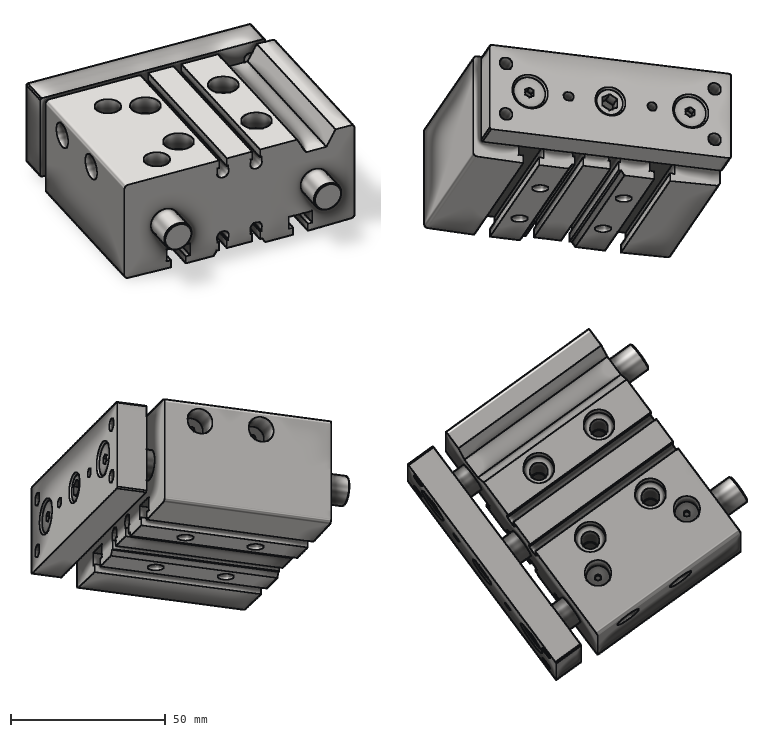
import cadquery as cq
import math


total_length = 83.0
body_width = 83.0
body_height = 36.0
body_start = 15.9
body_length = 57.2
top_z = body_height / 2
bottom_z = -top_z

corner_radius = 1.4
bottom_rise = 0.37
groove_y = 27.6
groove_top_width = 13.9
groove_depth = 5.7
groove_floor_width = 7.3
channel_depth = 1.7
channel_floor_width = 16.4
channel_mouth_width = 18.7

sensor_slot_y = 6.0
sensor_neck_width = 2.8
sensor_neck_depth = 3.0
sensor_shoulder_width = 4.0
sensor_round_diameter = 4.2
sensor_slot_depth = 6.9

t_slot_y = 22.0
t_neck_width = 5.3
t_neck_depth = 2.7
t_head_width = 8.4
t_head_height = 4.5

mount_x_places = [33.0, 57.1]
mount_y = 14.0
mount_counterbore_diameter = 10.0
mount_counterbore_depth = 6.0
mount_clearance_diameter = 5.8
mount_thread_diameter = 5.2
mount_thread_depth = 12.0

port_mouth_diameter = 8.55
port_floor_diameter = 7.7
port_depth = 8.0
pilot_diameter = 2.0
pilot_depth = 2.5
near_port_x = 28.05
far_top_port_x = 63.6
far_side_port_x = 49.05
top_port_y = -25.1
side_port_z = 11.5

plate_thickness = 10.05
plate_width = 81.1
plate_height = 30.05
plate_chamfer = 0.5
plate_hole_diameter = 4.2
plate_hole_y = 35.0
plate_hole_z = 9.0
dowel_diameter = 3.0
dowel_y = 14.0
dowel_slot_length = 3.4

rod_diameter = 10.0
rod_chamfer = 0.3
guide_rod_y = 27.0
piston_rod_insertion = 24.9

recess_depth = 0.7
guide_recess_diameter = 11.95
piston_recess_diameter = 10.1
guide_hex_width = 3.0
guide_hex_depth = 3.0
piston_hex_width = 5.0
piston_hex_depth = 5.0


def cross_section(x):
    """Workplane at the given X, facing +X, with local axes Y and Z."""
    return cq.Workplane("YZ", origin=(x, 0, 0))


def body_bar(y, z, width, height):
    """Bar as long as the body, with the middle of its lower side at (y, z)."""
    return (
        cross_section(body_start)
        .center(y, z + height / 2)
        .rect(width, height)
        .extrude(body_length)
    )


def body_blank():
    """Rounded block whose underside rises slightly from the T-slots to the outer edges."""
    side_y = body_width / 2
    flat_y = t_slot_y + t_neck_width / 2
    blank = (
        cross_section(body_start)
        .moveTo(-side_y, top_z)
        .lineTo(side_y, top_z)
        .lineTo(side_y, bottom_z + bottom_rise)
        .lineTo(flat_y, bottom_z)
        .lineTo(-flat_y, bottom_z)
        .lineTo(-side_y, bottom_z + bottom_rise)
        .close()
        .extrude(body_length)
    )
    for side in ("<Y", ">Y"):
        blank = blank.edges("|X").edges(side).fillet(corner_radius)
    return blank


def trapezoid_cut(y, z_mouth, z_floor, mouth_width, floor_width):
    """Channel with sloping walls along the whole body."""
    return (
        cross_section(body_start)
        .moveTo(y - mouth_width / 2, z_mouth)
        .lineTo(y - floor_width / 2, z_floor)
        .lineTo(y + floor_width / 2, z_floor)
        .lineTo(y + mouth_width / 2, z_mouth)
        .close()
        .extrude(body_length)
    )


def top_groove():
    floor_z = top_z - groove_depth
    return trapezoid_cut(groove_y, top_z, floor_z, groove_top_width, groove_floor_width)


def bottom_channel():
    floor_z = bottom_z + channel_depth
    return trapezoid_cut(0, bottom_z, floor_z, channel_mouth_width, channel_floor_width)


def sensor_slot(y, mouth_z, inward):
    """Narrow neck that opens past a square shoulder into a round bottom; inward is +1 or -1 along Z."""
    neck_half = sensor_neck_width / 2
    shoulder_half = sensor_shoulder_width / 2
    radius = sensor_round_diameter / 2
    shoulder_z = mouth_z + inward * sensor_neck_depth
    round_end_z = mouth_z + inward * sensor_slot_depth
    wall_to_center = math.sqrt(radius**2 - shoulder_half**2)
    round_start_z = round_end_z - inward * (radius + wall_to_center)
    return (
        cross_section(body_start)
        .moveTo(y - neck_half, mouth_z)
        .lineTo(y - neck_half, shoulder_z)
        .lineTo(y - shoulder_half, shoulder_z)
        .lineTo(y - shoulder_half, round_start_z)
        .threePointArc((y, round_end_z), (y + shoulder_half, round_start_z))
        .lineTo(y + shoulder_half, shoulder_z)
        .lineTo(y + neck_half, shoulder_z)
        .lineTo(y + neck_half, mouth_z)
        .close()
        .extrude(body_length)
    )


def t_slot(y):
    neck = body_bar(y, bottom_z, t_neck_width, t_neck_depth)
    head = body_bar(y, bottom_z + t_neck_depth, t_head_width, t_head_height)
    return neck.union(head)


def mounting_hole(x, y):
    """Counterbored clearance hole from the top that narrows to a threaded hole from the bottom."""
    hole = cq.Workplane("XY", origin=(x, y, bottom_z)).circle(mount_thread_diameter / 2).extrude(body_height)
    clearance = (
        cq.Workplane("XY", origin=(x, y, bottom_z + mount_thread_depth))
        .circle(mount_clearance_diameter / 2)
        .extrude(body_height - mount_thread_depth)
    )
    counterbore = (
        cq.Workplane("XY", origin=(x, y, top_z - mount_counterbore_depth))
        .circle(mount_counterbore_diameter / 2)
        .extrude(mount_counterbore_depth)
    )
    return hole.union(clearance).union(counterbore)


def cone(base, direction, base_diameter, end_diameter, depth):
    """Solid cone frustum that starts at the point base and narrows along direction."""
    return cq.Workplane(
        cq.Solid.makeCone(base_diameter / 2, end_diameter / 2, depth, cq.Vector(*base), cq.Vector(*direction))
    )


def port(mouth, direction):
    """Tapered port with its pilot hole, cut from the point mouth along direction."""
    taper = cone(mouth, direction, port_mouth_diameter, port_floor_diameter, port_depth)
    pilot = cq.Solid.makeCylinder(
        pilot_diameter / 2, port_depth + pilot_depth, cq.Vector(*mouth), cq.Vector(*direction)
    )
    return taper.union(cq.Workplane(pilot))


def rod(y, start, end):
    """Plain rod along X."""
    return cross_section(start).center(y, 0).circle(rod_diameter / 2).extrude(end - start)


def make_body():
    body = body_blank().cut(top_groove()).cut(bottom_channel())
    for side in (-1, 1):
        body = body.cut(sensor_slot(side * sensor_slot_y, top_z, -1))
        body = body.cut(sensor_slot(side * sensor_slot_y, bottom_z + channel_depth, 1))
        body = body.cut(t_slot(side * t_slot_y))
        body = body.cut(rod(side * guide_rod_y, body_start, body_start + body_length))
        for x in mount_x_places:
            body = body.cut(mounting_hole(x, side * mount_y))
    body = body.cut(rod(0, body_start, body_start + piston_rod_insertion))

    for x in (near_port_x, far_top_port_x):
        body = body.cut(port((x, top_port_y, top_z), (0, 0, -1)))
    for x in (near_port_x, far_side_port_x):
        body = body.cut(port((x, -body_width / 2, side_port_z), (0, 1, 0)))
    return body


def tool_plate():
    plate = cross_section(0).rect(plate_width, plate_height).extrude(plate_thickness)
    plate = plate.edges("|X").chamfer(plate_chamfer)

    corner_holes = (
        cross_section(0)
        .rect(2 * plate_hole_y, 2 * plate_hole_z, forConstruction=True)
        .vertices()
        .circle(plate_hole_diameter / 2)
        .extrude(plate_thickness)
    )
    round_dowel = cross_section(0).center(-dowel_y, 0).circle(dowel_diameter / 2).extrude(plate_thickness)
    long_dowel = (
        cross_section(0)
        .center(dowel_y, 0)
        .slot2D(dowel_slot_length, dowel_diameter)
        .extrude(plate_thickness)
    )
    return plate.cut(corner_holes).cut(round_dowel).cut(long_dowel)


def rod_socket(y, recess_diameter, hex_width, hex_depth):
    """Shallow 45-degree recess in the plate face with a hexagon socket in its floor."""
    floor_diameter = recess_diameter - 2 * recess_depth
    recess = cone((0, y, 0), (1, 0, 0), recess_diameter, floor_diameter, recess_depth)
    corner_diameter = hex_width / math.cos(math.radians(30))
    socket = (
        cross_section(0)
        .center(y, 0)
        .transformed(rotate=(0, 0, 90))
        .polygon(6, corner_diameter)
        .extrude(recess_depth + hex_depth)
    )
    return recess.union(socket)


def make_moving_unit():
    """Tool plate with the piston rod and the two guide rods fixed in it."""
    unit = tool_plate()
    unit = unit.union(rod(0, plate_thickness, body_start + piston_rod_insertion))
    for side in (-1, 1):
        guide_rod = rod(side * guide_rod_y, plate_thickness, total_length).faces(">X").chamfer(rod_chamfer)
        unit = unit.union(guide_rod)
        unit = unit.cut(
            rod_socket(side * guide_rod_y, guide_recess_diameter, guide_hex_width, guide_hex_depth)
        )
    return unit.cut(rod_socket(0, piston_recess_diameter, piston_hex_width, piston_hex_depth))


body = make_body()
moving_unit = make_moving_unit()

result = cq.Compound.makeCompound([body.solids().val(), moving_unit.solids().val()])